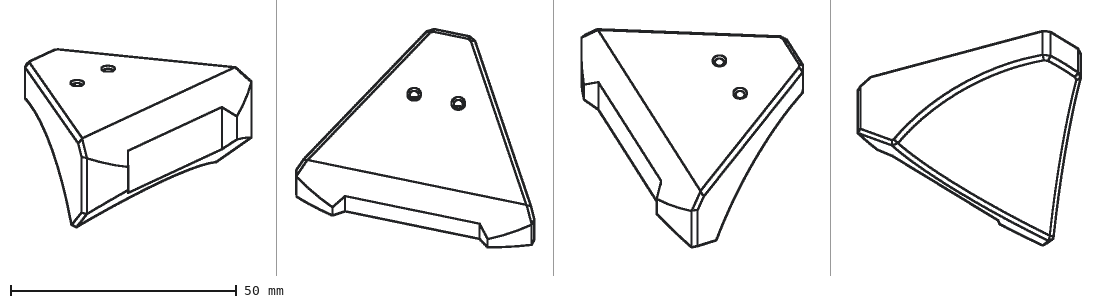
import cadquery as cq
import math

apex_x = -8.65
half_angle = 30.0
outer_radius = 55.0
edge_chamfer = 1.0
upper_slope_x = 36.3
lower_slope_x = 56.4
block_depth = 32.4

sphere_x = 9.5
sphere_z = -47.1
sphere_radius = 38.7

recess_x = 41.15
recess_half_width = 15.25

hole_x = 16.25
hole_spacing = 10.0
hole_diameter = 2.0
hole_depth = 5.0
hole_bevel = 0.5


def wedge_blank():
    """Sector with a flat nose and a curved rear wall."""
    angle = math.radians(half_angle)
    nose_half_width = -apex_x * math.tan(angle)
    rear_x = apex_x + outer_radius * math.cos(angle)
    rear_half_width = outer_radius * math.sin(angle)
    return (
        cq.Workplane("XY")
        .moveTo(0, -nose_half_width)
        .lineTo(rear_x, -rear_half_width)
        .threePointArc((apex_x + outer_radius, 0), (rear_x, rear_half_width))
        .lineTo(0, nose_half_width)
        .close()
        .extrude(-block_depth)
    )


def slope_profile():
    """Side profile with the 45 degree slopes that meet behind the part."""
    meeting_x = (upper_slope_x + lower_slope_x) / 2
    meeting_z = -(lower_slope_x - upper_slope_x) / 2
    return (
        cq.Workplane("XZ")
        .polyline([
            (0, 0),
            (upper_slope_x, 0),
            (meeting_x, meeting_z),
            (lower_slope_x - block_depth, -block_depth),
            (0, -block_depth),
        ])
        .close()
        .extrude(outer_radius, both=True)
    )


def recess():
    """Cutter for the rear recess, flaring at 45 degrees."""
    flare = outer_radius + apex_x - recess_x
    rear_x = recess_x + flare
    flared_half_width = recess_half_width + flare
    return (
        cq.Workplane("XY")
        .polyline([
            (recess_x, -recess_half_width),
            (rear_x, -flared_half_width),
            (rear_x, flared_half_width),
            (recess_x, recess_half_width),
        ])
        .close()
        .extrude(-block_depth)
    )


def hole(y):
    """Blind hole with a bevelled mouth and a bevelled floor."""
    radius = hole_diameter / 2
    return (
        cq.Workplane("XZ")
        .polyline([
            (0, 0),
            (radius + hole_bevel, 0),
            (radius, -hole_bevel),
            (radius, hole_bevel - hole_depth),
            (radius - hole_bevel, -hole_depth),
            (0, -hole_depth),
        ])
        .close()
        .revolve(360, (0, 0, 0), (0, 1, 0))
        .translate((hole_x, y, 0))
    )


hollow = cq.Workplane("XY").sphere(sphere_radius).translate((sphere_x, 0, sphere_z))
body = wedge_blank().intersect(slope_profile()).cut(hollow)

wall_normal_x = -math.sin(math.radians(half_angle))
wall_normal_y = math.cos(math.radians(half_angle))
rim = body.faces("<X").edges()
rim = rim.add(body.faces("%SPHERE").edges())
for side in (-1, 1):
    outward = cq.Vector(wall_normal_x, side * wall_normal_y, 0)
    side_wall = body.faces(cq.selectors.DirectionMinMaxSelector(outward))
    rim = rim.add(side_wall.edges())
result = rim.chamfer(edge_chamfer)

result = result.cut(recess())
for side in (-1, 1):
    result = result.cut(hole(side * hole_spacing / 2))